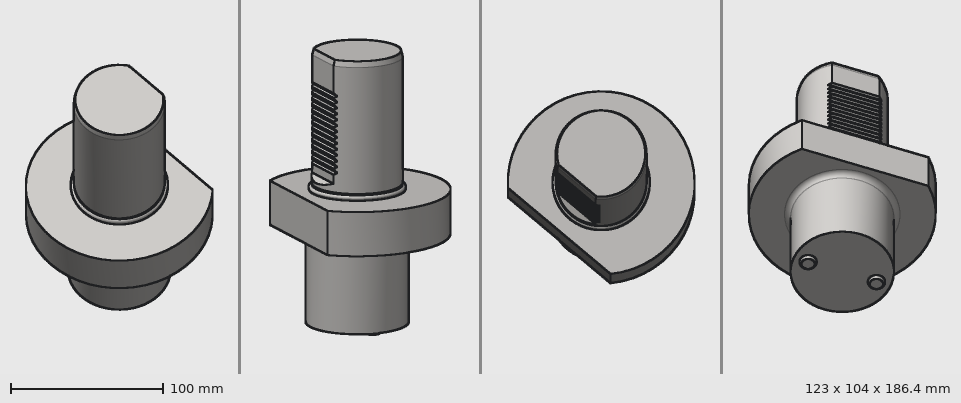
import cadquery as cq
import math

collar_diameter = 123.0
collar_height = 30.0
collar_flat_y = 42.5

shank_diameter = 60.0
shank_length = 94.0
shank_flat_y = 25.0
lead_length = 4.0
lead_angle = math.radians(15)
lead_inset = lead_length * math.tan(lead_angle)

shoulder_z = 10.1
shoulder_angle = math.radians(30)

groove_count = 14
groove_pitch = 4.0
groove_depth = 1.6
groove_half_width = groove_depth
lowest_groove_z = 17.8

seal_section_radius = 2.1
seal_centre_z = 1.15
seal_groove_diameter = 59.7
seal_groove_height = 4.2

body_diameter = 68.0
body_length = 60.0
neck_radius = 4.0

button_spacing = 48.0
button_height = 2.37
button_base_diameter = 11.47
button_middle_diameter = 10.4
button_tip_diameter = 8.8

shank_radius = shank_diameter / 2
body_radius = body_diameter / 2
body_end_z = -collar_height - body_length


def make_collar():
    disc = cq.Workplane("XY").circle(collar_diameter / 2).extrude(-collar_height)
    beyond_flat = (
        cq.Workplane("XY")
        .rect(collar_diameter, collar_diameter)
        .extrude(-collar_height)
        .translate((0, collar_flat_y + collar_diameter / 2, 0))
    )
    return disc.cut(beyond_flat)


def make_shank():
    groove_radius = seal_groove_diameter / 2
    return (
        cq.Workplane("XZ")
        .moveTo(0, 0)
        .lineTo(groove_radius, 0)
        .lineTo(groove_radius, seal_groove_height)
        .lineTo(shank_radius, seal_groove_height)
        .lineTo(shank_radius, shank_length - lead_length)
        .lineTo(shank_radius - lead_inset, shank_length)
        .lineTo(0, shank_length)
        .close()
        .revolve(360, (0, 0, 0), (0, 1, 0))
    )


def make_flat_cutter():
    """Material removed for the shank flat, its shoulder and its tapered lead."""
    outer_y = shank_diameter
    shoulder_drop = (outer_y - shank_flat_y) * math.tan(shoulder_angle)
    return (
        cq.Workplane("YZ")
        .moveTo(shank_flat_y, shoulder_z)
        .lineTo(shank_flat_y, shank_length - lead_length)
        .lineTo(shank_flat_y - lead_inset, shank_length)
        .lineTo(outer_y, shank_length)
        .lineTo(outer_y, shoulder_z - shoulder_drop)
        .close()
        .extrude(shank_radius, both=True)
    )


def make_groove_cutter(centre_z):
    return (
        cq.Workplane("YZ")
        .moveTo(shank_flat_y, centre_z - groove_half_width)
        .lineTo(shank_flat_y - groove_depth, centre_z)
        .lineTo(shank_flat_y, centre_z + groove_half_width)
        .close()
        .extrude(shank_radius, both=True)
    )


def make_toothed_shank():
    shank = make_shank().cut(make_flat_cutter())
    for index in range(groove_count):
        shank = shank.cut(make_groove_cutter(lowest_groove_z + index * groove_pitch))
    return shank


def make_seal():
    """Ring of round section; the part of it below Z = 0 lies inside the collar."""
    return (
        cq.Workplane("XZ")
        .center(shank_radius, seal_centre_z)
        .circle(seal_section_radius)
        .revolve(360, (-shank_radius, 0, 0), (-shank_radius, 1, 0))
    )


def make_body():
    """Cylinder that blends into the underside of the collar with a concave neck."""
    neck_end_z = -collar_height - neck_radius
    arc_offset = neck_radius * (1 - math.sqrt(0.5))
    return (
        cq.Workplane("XZ")
        .moveTo(0, -collar_height)
        .lineTo(body_radius + neck_radius, -collar_height)
        .threePointArc(
            (body_radius + arc_offset, -collar_height - arc_offset),
            (body_radius, neck_end_z),
        )
        .lineTo(body_radius, body_end_z)
        .lineTo(0, body_end_z)
        .close()
        .revolve(360, (0, 0, 0), (0, 1, 0))
    )


def make_button(centre_x):
    return (
        cq.Workplane("XZ")
        .moveTo(0, 0)
        .lineTo(button_base_diameter / 2, 0)
        .threePointArc(
            (button_middle_diameter / 2, -button_height / 2),
            (button_tip_diameter / 2, -button_height),
        )
        .lineTo(0, -button_height)
        .close()
        .revolve(360, (0, 0, 0), (0, 1, 0))
        .translate((centre_x, 0, body_end_z))
    )


result = make_collar().union(make_toothed_shank()).union(make_seal()).union(make_body())
for side in (-1, 1):
    result = result.union(make_button(side * button_spacing / 2))